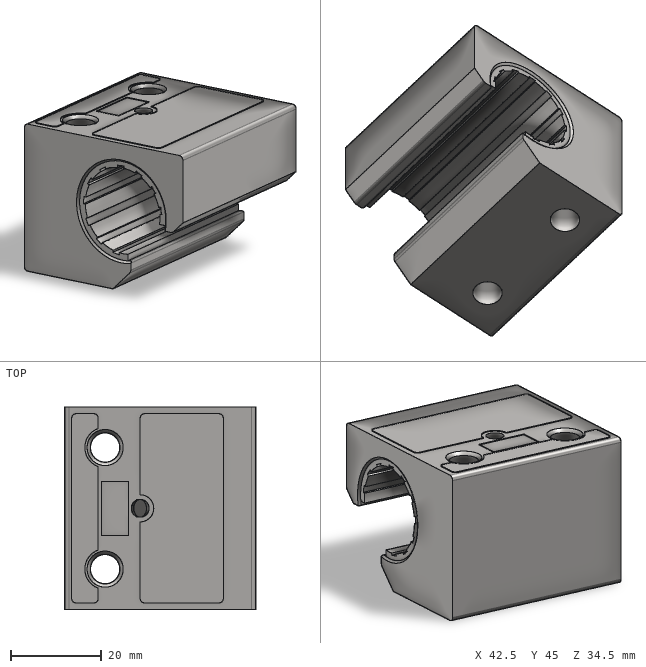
import cadquery as cq
import math


LENGTH = 45.0
LEFT = -26.0
RIGHT = 16.45
BOTTOM = -18.5
TOTAL_HEIGHT = 34.5
LABEL_HEIGHT = 0.2
TOP = BOTTOM + TOTAL_HEIGHT - LABEL_HEIGHT
EDGE_ROUND = 1.0

OPENING_EDGE = 2.5
CORNER_CUT = 16.2
LIP_ROUND = 0.3

BORE_RADIUS = 11.5
BORE_CHAMFER = 0.5
LINER_RADIUS = 10.0
LINER_EDGE = 1.4
GROOVE_COUNT = 10
GROOVE_WIDTH = 1.65
GROOVE_FLOOR = 10.45
GROOVE_MIDDLE = 135.0
GROOVE_STEP = 27.8

PIN_RADIUS = 2.0
PIN_ROOT = 10.75
PIN_END = 13.05
PIN_POCKET_END = 14.18
PIN_X = PIN_END * math.cos(math.radians(GROOVE_MIDDLE))
PIN_Z = PIN_END * math.sin(math.radians(GROOVE_MIDDLE))

MOUNT_FROM_LEFT = 9.0
MOUNT_X = LEFT + MOUNT_FROM_LEFT
MOUNT_Y = 13.5
MOUNT_RADIUS = 3.25
MOUNT_SINK_RADIUS = 4.0

LABEL_WIDTH_Y = 42.05
LABEL_ROUND = 1.0
SMALL_LABEL_X = (-24.45, -18.55)
LARGE_LABEL_X = (PIN_X, -PIN_X)
MOUNT_CLEARANCE = 4.5
PIN_CLEARANCE = 3.0
LOGO_X = (-17.78, -11.85)
LOGO_LENGTH = 12.0
LOGO_DEPTH = 0.2


def along_y(radius, length):
    """Cylinder around the bore axis, centred on Y = 0."""
    return cq.Workplane("XZ").circle(radius).extrude(length / 2, both=True)


def upright(x, y, radius, z_low, z_high):
    """Cylinder parallel to Z."""
    return cq.Workplane("XY", origin=(x, y, z_low)).circle(radius).extrude(z_high - z_low)


def pin_cylinder(outer_end):
    """Pin shape from inside the liner wall outwards, opposite the opening."""
    angle = math.radians(GROOVE_MIDDLE)
    direction = cq.Vector(math.cos(angle), 0, math.sin(angle))
    height = outer_end - PIN_ROOT
    return cq.Workplane(cq.Solid.makeCylinder(PIN_RADIUS, height, direction * PIN_ROOT, direction))


def round_edges(body, corners, radius):
    """Round the edges running along Y through the given X, Z corners."""
    for x, z in corners:
        body = body.edges(cq.NearestToPointSelector((x, 0, z))).fillet(radius)
    return body


def make_block():
    """Rounded block with a plain bore, open at the lower right corner."""
    lower_lip = (OPENING_EDGE, OPENING_EDGE - CORNER_CUT)
    upper_lip = (CORNER_CUT - OPENING_EDGE, -OPENING_EDGE)
    outline = [
        (LEFT, BOTTOM),
        (BOTTOM + CORNER_CUT, BOTTOM),
        lower_lip,
        (OPENING_EDGE, -OPENING_EDGE),
        upper_lip,
        (RIGHT, RIGHT - CORNER_CUT),
        (RIGHT, TOP),
        (LEFT, TOP),
    ]
    block = cq.Workplane("XZ").polyline(outline).close().extrude(LENGTH / 2, both=True)
    outer_corners = [(LEFT, BOTTOM), (LEFT, TOP), (RIGHT, TOP), lower_lip, upper_lip]
    block = round_edges(block, outer_corners, EDGE_ROUND)
    block = block.cut(along_y(BORE_RADIUS, LENGTH))
    lip_reach = math.sqrt(BORE_RADIUS**2 - OPENING_EDGE**2)
    return round_edges(block, [(OPENING_EDGE, -lip_reach), (lip_reach, -OPENING_EDGE)], LIP_ROUND)


def make_chamfered_bore():
    """Bore with a 45 degree chamfer at both ends."""
    end_radius = BORE_RADIUS + BORE_CHAMFER
    profile = [
        (0, -LENGTH / 2),
        (end_radius, -LENGTH / 2),
        (BORE_RADIUS, -LENGTH / 2 + BORE_CHAMFER),
        (BORE_RADIUS, LENGTH / 2 - BORE_CHAMFER),
        (end_radius, LENGTH / 2),
        (0, LENGTH / 2),
    ]
    return cq.Workplane("XY").polyline(profile).close().revolve(360, (0, 0, 0), (0, 1, 0))


def make_liner():
    """Grooved ring lining the bore between its chamfers, open at the lower right."""
    liner_length = LENGTH - 2 * BORE_CHAMFER
    liner = along_y(BORE_RADIUS, liner_length).cut(along_y(LINER_RADIUS, LENGTH))
    for index in range(GROOVE_COUNT):
        angle = GROOVE_MIDDLE + (index - (GROOVE_COUNT - 1) / 2) * GROOVE_STEP
        groove = cq.Workplane("XY").box(GROOVE_FLOOR, LENGTH, GROOVE_WIDTH)
        groove = groove.translate((GROOVE_FLOOR / 2, 0, 0))
        liner = liner.cut(groove.rotate((0, 0, 0), (0, 1, 0), -angle))
    gap = cq.Workplane("XY").box(LENGTH, LENGTH, LENGTH)
    gap = gap.translate((LINER_EDGE + LENGTH / 2, 0, -LINER_EDGE - LENGTH / 2))
    return liner.cut(gap)


def make_label(x_range):
    """Thin plate with rounded corners on the top face."""
    x_low, x_high = x_range
    plate = cq.Workplane("XY", origin=((x_low + x_high) / 2, 0, TOP)).rect(x_high - x_low, LABEL_WIDTH_Y)
    return plate.extrude(LABEL_HEIGHT).edges("|Z").fillet(LABEL_ROUND)


def make_labels():
    """Both raised fields, kept clear of the holes beside them."""
    small = make_label(SMALL_LABEL_X)
    for y in (-MOUNT_Y, MOUNT_Y):
        small = small.cut(upright(MOUNT_X, y, MOUNT_CLEARANCE, TOP, TOP + LABEL_HEIGHT))
    large = make_label(LARGE_LABEL_X)
    large = large.cut(upright(PIN_X, 0, PIN_CLEARANCE, TOP, TOP + LABEL_HEIGHT))
    return small.union(large)


def make_mount_hole(y):
    """Countersunk hole through the block."""
    sink_depth = MOUNT_SINK_RADIUS - MOUNT_RADIUS
    sink = cq.Solid.makeCone(
        MOUNT_RADIUS, MOUNT_SINK_RADIUS, sink_depth, cq.Vector(MOUNT_X, y, TOP - sink_depth)
    )
    return upright(MOUNT_X, y, MOUNT_RADIUS, BOTTOM, TOP).union(cq.Workplane(sink))


def make_logo_recess():
    """Shallow rectangular recess between the mounting holes."""
    x_low, x_high = LOGO_X
    recess = cq.Workplane("XY").box(x_high - x_low, LOGO_LENGTH, LOGO_DEPTH)
    return recess.translate(((x_low + x_high) / 2, 0, TOP - LOGO_DEPTH / 2))


housing = make_block().cut(make_chamfered_bore())
for mount_y in (-MOUNT_Y, MOUNT_Y):
    housing = housing.cut(make_mount_hole(mount_y))
housing = housing.cut(make_logo_recess())
housing = housing.cut(upright(PIN_X, 0, PIN_RADIUS, PIN_Z, TOP))
housing = housing.cut(pin_cylinder(PIN_POCKET_END))
pin = pin_cylinder(PIN_END)

result = housing.union(make_labels()).union(make_liner()).union(pin)